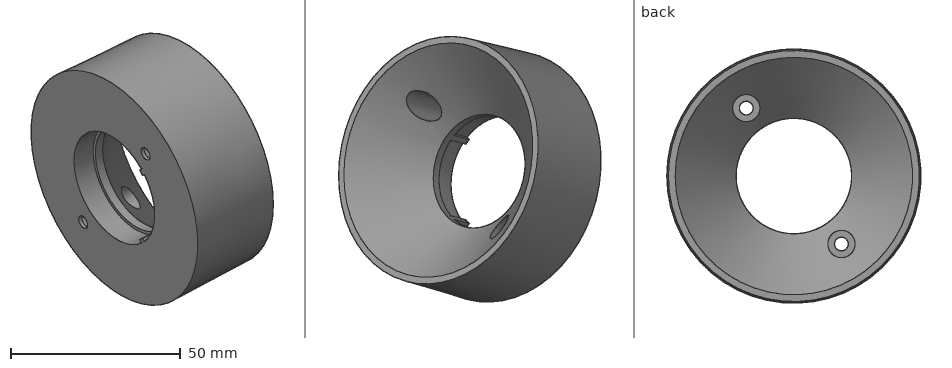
import cadquery as cq
import math

outer_diameter = 75.0
thickness = 30.0
draft_angle = 1.0

bore_diameter = 34.0
bore_depth = 10.2
cone_mouth_diameter = 70.0

recess_diameter = 36.2
recess_depth = 7.35
rib_width = 1.8
rib_angle = 45.0

screw_hole_diameter = 4.0
screw_hole_x = 14.0
screw_hole_z = 20.0
screw_wall = 1.2
screw_head_diameter = 8.0

front_y = -thickness / 2
back_y = thickness / 2


def round_solid(front_diameter, back_diameter, start_y, end_y):
    """Cylinder or cone frustum on the Y axis between two Y positions."""
    return (
        cq.Workplane("XY")
        .moveTo(0, start_y)
        .lineTo(front_diameter / 2, start_y)
        .lineTo(back_diameter / 2, end_y)
        .lineTo(0, end_y)
        .close()
        .revolve(360, (0, 0, 0), (0, 1, 0))
    )


def drafted_solid(front_diameter, depth):
    """Round solid that starts at the front face and narrows by the draft angle."""
    back_diameter = front_diameter - 2 * depth * math.tan(math.radians(draft_angle))
    return round_solid(front_diameter, back_diameter, front_y, front_y + depth)


def bore_and_cone():
    cone_start_y = front_y + bore_depth
    bore = round_solid(bore_diameter, bore_diameter, front_y, cone_start_y)
    cone = round_solid(bore_diameter, cone_mouth_diameter, cone_start_y, back_y)
    return bore.union(cone)


def ribbed_recess():
    recess = drafted_solid(recess_diameter, recess_depth)
    for angle in (rib_angle, -rib_angle):
        rib = (
            cq.Workplane("XY")
            .box(recess_diameter, recess_depth, rib_width)
            .translate((recess_diameter / 2, front_y + recess_depth / 2, 0))
            .rotate((0, 0, 0), (0, 1, 0), angle)
        )
        recess = recess.cut(rib)
    return recess


def screw_hole():
    head_start_y = front_y + screw_wall
    hole = round_solid(screw_hole_diameter, screw_hole_diameter, front_y, head_start_y)
    head = round_solid(screw_head_diameter, screw_head_diameter, head_start_y, back_y)
    return hole.union(head)


body = drafted_solid(outer_diameter, thickness)
body = body.cut(bore_and_cone())
body = body.cut(ribbed_recess())
for side in (1, -1):
    body = body.cut(screw_hole().translate((side * screw_hole_x, 0, side * screw_hole_z)))

result = body